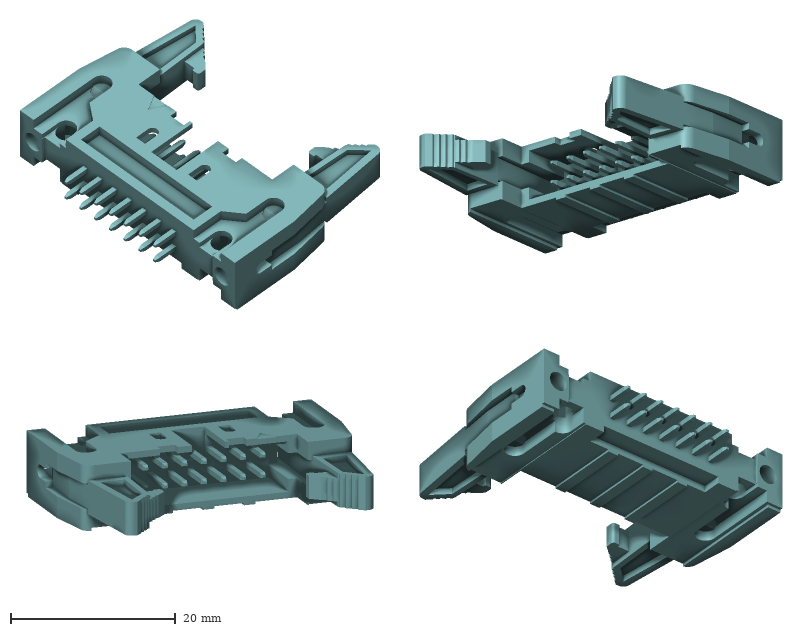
import cadquery as cq
import math


half_length = 18.5
top_z = 8.3
base_z = 0.3
ear_base_z = 0.4
mid_z = (ear_base_z + top_z) / 2
tail_face_y = 0.4
mating_face_y = 13.3

ear_top_y = 16.97
ear_inner_x = 11.5
ear_taper_y = 10.15
ear_top_x = 17.45
ear_corner_radius = 1.4
ear_mount_x = 14.65
relief_inner_x = 11.65
pad_inner_x = 16.6

cavity_half_length = 10.35
cavity_floor_y = 6.7
wall = 0.8
key_width = 4.35
key_floor_y = 6.25
window_width = 1.5
window_offset = 4.47
window_top_y = 9.5
notch_width = 2.3
notch_depth = 1.05
notch_centers = (-3.8, 5.15)
mark_x = -7.58
mark_width = 2.5
mark_length = 2.25
mark_depth = 0.1

label_length = 19.38
label_y = (1.7, 4.88)
rear_recess_length = 17.75
rear_recess_top_z = 1.22
rear_recess_depth = 2.6
rib_pitch = 5.35
rib_width = 1.48

pin_columns = 7
pin_row_length = 15.25
pin_pitch = pin_row_length / (pin_columns - 1)
pin_width = 0.65
pin_tip_width = 0.35
pin_tip_length = 0.63
pin_tail_y = -3.0
pin_contact_y = 12.3

pivot_x = 14.8
pivot_y = 10.28
pivot_radius = 1.33
pivot_end_z = 6.95
pivot_bevel = 0.75
top_channel_z = 6.85
bottom_channel_z = 2.0
channel_bend = (6.9, 5.05)
channel_wide_x = 11.0
mount_hole_x = 13.35
mount_hole_y = 2.8
mount_hole_radius = 1.33
mount_slot_z = (2.55, 6.1)

slot_height = 3.25
slot_floor_y = 6.32
side_slot_height = 1.65
side_slot_end_y = 3.62
foot_pocket_x = (11.65, 17.25)
bore_x = 16.27
bore_z = 4.4
bore_radius = 1.3

tongue_height = 2.9
grip_height = 4.25
latch_outer = (17.12, 17.1)
latch_inner = (12.02, 17.2)
latch_hook_root = (12.15, 21.85)
latch_tip_y = 27.7
latch_tip_radius = 1.0
latch_tip_x = 15.15
latch_tip_flat = 0.37
tooth_count = 6
tooth_run = 0.6
tooth_drop = 0.55
tooth_riser = 0.35
tooth_start = (14.13, 27.1)
hook_nose_x = 9.4
hook_top_y = 22.7
hook_bottom_y = 21.45
hook_radius = 0.37
hook_lip_x = 10.45
hook_lip_radius = 0.2
tongue_end_y = 6.35
tongue_bend_y = 12.1
tongue_bevel = 0.25
foot_x = (15.0, 16.05, 16.85)
foot_end_y = 4.1
foot_bevel = 0.3
foot_root_x = 17.15
arm_end_x = 12.2
arm_y = (5.1, 7.4)
grip_recess_depth = 0.85
grip_recess = [(15.12, 26.63), (13.0, 24.65), (12.85, 18.3), (16.0, 18.15)]


def block(x, y, z):
    """Box from (min, max) pairs along X, Y and Z."""
    size = (x[1] - x[0], y[1] - y[0], z[1] - z[0])
    return cq.Workplane("XY").box(*size, centered=False).translate((x[0], y[0], z[0]))


def centered_block(x_center, width, y, z):
    return block((x_center - width / 2, x_center + width / 2), y, z)


def prism(points, z):
    """Closed polygon in XY extruded between two heights."""
    return cq.Workplane("XY").workplane(offset=z[0]).polyline(points).close().extrude(z[1] - z[0])


def cylinder(x, y, radius, z):
    return cq.Workplane("XY").workplane(offset=z[0]).center(x, y).circle(radius).extrude(z[1] - z[0])


def about_mid(height):
    """Z range of a feature centred on the mid-plane."""
    return (mid_z - height / 2, mid_z + height / 2)


def both_sides(shape):
    return shape.union(shape.mirror("YZ"))


def make_ear():
    outline = [
        (0, tail_face_y),
        (ear_mount_x, tail_face_y),
        (ear_mount_x, 0),
        (half_length, 0),
        (half_length, ear_taper_y),
        (ear_top_x, ear_top_y),
        (ear_inner_x, ear_top_y),
        (ear_inner_x, mating_face_y),
        (0, mating_face_y),
    ]
    ear = prism(outline, (0, top_z))
    corner = cq.selectors.NearestToPointSelector((ear_top_x, ear_top_y, top_z / 2))
    ear = ear.edges(corner).fillet(ear_corner_radius)
    ear = ear.cut(block((0, relief_inner_x), (0, ear_top_y), (0, base_z)))
    ear = ear.cut(block((relief_inner_x, pad_inner_x), (0, ear_top_y), (0, ear_base_z)))
    return ear.cut(block((pad_inner_x, half_length), (0, tail_face_y), (0, ear_base_z)))


def pivot_channels():
    inner_x = pivot_x - pivot_radius
    outer_x = pivot_x + pivot_radius
    wide_outline = [
        (outer_x, 0),
        (outer_x, pivot_y),
        (inner_x, pivot_y),
        (inner_x, channel_bend[0]),
        (channel_wide_x, channel_bend[1]),
        (channel_wide_x, 0),
    ]
    top = prism(wide_outline, (top_channel_z, top_z))
    bottom = block((inner_x, outer_x), (0, pivot_y), (0, bottom_channel_z))
    bore = cylinder(pivot_x, pivot_y, pivot_radius, (0, top_z))
    return top.union(bottom).union(bore)


def mounting_cuts():
    cuts = cylinder(mount_hole_x, mount_hole_y, mount_hole_radius, (0, top_z))
    for z in ((0, mount_slot_z[0]), (mount_slot_z[1], top_z)):
        cuts = cuts.union(centered_block(mount_hole_x, 2 * mount_hole_radius, (0, mount_hole_y), z))
    return cuts


def latch_cuts():
    slot = block((cavity_half_length, half_length), (slot_floor_y, ear_top_y), about_mid(slot_height))
    bore = cq.Workplane("XZ").center(bore_x, bore_z).circle(bore_radius).extrude(-slot_floor_y)
    end_radius = side_slot_height / 2
    end_center_y = side_slot_end_y + end_radius
    side_slot = block((bore_x, half_length), (end_center_y, slot_floor_y), about_mid(side_slot_height))
    rounded_end = (
        cq.Workplane("YZ").workplane(offset=bore_x).center(end_center_y, mid_z)
        .circle(end_radius).extrude(half_length - bore_x)
    )
    foot_pocket = block(foot_pocket_x, (side_slot_end_y, slot_floor_y), about_mid(slot_height))
    return slot.union(foot_pocket).union(bore).union(side_slot).union(rounded_end)


def wall_openings():
    through_wall = (top_z - wall, top_z)
    cuts = centered_block(0, key_width, (key_floor_y, mating_face_y), (mid_z, top_z))
    for x in notch_centers:
        cuts = cuts.union(
            centered_block(x, notch_width, (mating_face_y - notch_depth, mating_face_y), through_wall)
        )
    arch_y = window_top_y - window_width / 2
    for x in (-window_offset, window_offset):
        cuts = cuts.union(centered_block(x, window_width, (cavity_floor_y, arch_y), through_wall))
        cuts = cuts.union(cylinder(x, arch_y, window_width / 2, through_wall))
    pin_one_mark = [
        (mark_x - mark_width / 2, mating_face_y),
        (mark_x + mark_width / 2, mating_face_y),
        (mark_x, mating_face_y - mark_length),
    ]
    return cuts.union(prism(pin_one_mark, (top_z - mark_depth, top_z)))


def make_pin(x, z):
    """Square pin along Y with both ends tapered."""
    shaft_y = (pin_tail_y + pin_tip_length, pin_contact_y - pin_tip_length)
    pin = centered_block(x, pin_width, shaft_y, (z - pin_width / 2, z + pin_width / 2))
    for y, direction in ((shaft_y[0], 1), (shaft_y[1], -1)):
        tip = (
            cq.Workplane("XZ", origin=(x, y, z)).rect(pin_width, pin_width)
            .workplane(offset=direction * pin_tip_length).rect(pin_tip_width, pin_tip_width)
            .loft()
        )
        pin = pin.union(tip)
    return pin


def make_tongue():
    """Lower part of the latch inside the ear: stem, inward arm and foot."""
    side_slope = (latch_tip_x + latch_tip_radius - latch_outer[0]) / (
        latch_tip_y - latch_tip_radius - latch_outer[1])
    bend_x = latch_outer[0] + side_slope * (tongue_bend_y - latch_outer[1])
    outline = [
        (arm_end_x, arm_y[0]),
        (foot_x[0], arm_y[0]),
        (foot_x[1], foot_end_y),
        (foot_x[2], foot_end_y + foot_bevel),
        (foot_root_x, tongue_end_y),
        (bend_x - tongue_bevel, tongue_end_y),
        (bend_x, tongue_end_y + tongue_bevel),
        (bend_x, tongue_bend_y),
        latch_outer,
        latch_inner,
        (arm_end_x, arm_y[1]),
    ]
    return prism(outline, about_mid(tongue_height))


def make_head(height):
    """Upper part of the latch: rounded tip, toothed back and hook, centred on the mid-plane."""
    teeth = []
    x, y = tooth_start
    for _ in range(tooth_count):
        teeth.append((x, y - tooth_riser))
        x -= tooth_run
        y -= tooth_drop
        teeth.append((x, y))
    diagonal = math.sqrt(0.5)
    tip_center_y = latch_tip_y - latch_tip_radius
    return (
        cq.Workplane("XY")
        .moveTo(*latch_outer)
        .lineTo(latch_tip_x + latch_tip_radius, tip_center_y)
        .threePointArc(
            (latch_tip_x + latch_tip_radius * diagonal, tip_center_y + latch_tip_radius * diagonal),
            (latch_tip_x, latch_tip_y),
        )
        .lineTo(latch_tip_x - latch_tip_flat, latch_tip_y)
        .lineTo(*tooth_start)
        .polyline(teeth, includeCurrent=True)
        .lineTo(hook_nose_x, hook_top_y)
        .lineTo(hook_nose_x, hook_bottom_y + hook_radius)
        .radiusArc((hook_nose_x + hook_radius, hook_bottom_y), -hook_radius)
        .lineTo(hook_lip_x - hook_lip_radius, hook_bottom_y)
        .radiusArc((hook_lip_x, hook_bottom_y + hook_lip_radius), -hook_lip_radius)
        .lineTo(hook_lip_x, latch_hook_root[1])
        .lineTo(*latch_hook_root)
        .lineTo(*latch_inner)
        .close().extrude(height)
        .translate((0, 0, mid_z - height / 2))
    )


def make_latch():
    grip = make_head(grip_height)
    inner_slope = (latch_hook_root[0] - latch_inner[0]) / (latch_hook_root[1] - latch_inner[1])
    grip_top_x = latch_inner[0] + inner_slope * (latch_tip_y - latch_inner[1])
    hook_side = [(0, latch_inner[1]), latch_inner, (grip_top_x, latch_tip_y), (0, latch_tip_y)]
    grip = grip.cut(prism(hook_side, (0, top_z)))
    grip_bottom, grip_top = about_mid(grip_height)
    grip = grip.cut(prism(grip_recess, (grip_top - grip_recess_depth, grip_top)))
    grip = grip.cut(prism(grip_recess, (grip_bottom, grip_bottom + grip_recess_depth)))
    hook = make_head(tongue_height).intersect(prism(hook_side, (0, top_z)))
    return make_tongue().union(hook).union(grip).union(make_pivot())


def make_pivot():
    """Pivot through both ear walls, each end bevelled on its -Y half."""
    half_height = pivot_end_z - mid_z
    bevelled_y = pivot_y - pivot_radius
    profile = [
        (bevelled_y, pivot_bevel - half_height),
        (pivot_y, -half_height),
        (pivot_y + pivot_radius, -half_height),
        (pivot_y + pivot_radius, half_height),
        (pivot_y, half_height),
        (bevelled_y, half_height - pivot_bevel),
    ]
    side = (
        cq.Workplane("YZ", origin=(pivot_x - pivot_radius, 0, mid_z))
        .polyline(profile).close().extrude(2 * pivot_radius)
    )
    return cylinder(pivot_x, pivot_y, pivot_radius, (0, top_z)).intersect(side)


def make_housing():
    housing = both_sides(make_ear())
    for x in (-rib_pitch, 0, rib_pitch):
        housing = housing.union(centered_block(x, rib_width, (tail_face_y, mating_face_y), (0, base_z)))
    cavity = centered_block(
        0, 2 * cavity_half_length, (cavity_floor_y, mating_face_y), (base_z + wall, top_z - wall))
    label_recess = centered_block(0, label_length, label_y, (top_channel_z, top_z))
    rear_recess = centered_block(
        0, rear_recess_length, (0, tail_face_y + rear_recess_depth), (0, rear_recess_top_z))
    housing = housing.cut(cavity).cut(wall_openings()).cut(label_recess).cut(rear_recess)
    for cuts in (pivot_channels(), mounting_cuts(), latch_cuts()):
        housing = housing.cut(both_sides(cuts))
    return housing


result = make_housing().union(both_sides(make_latch()))
for column in range(pin_columns):
    pin_x = column * pin_pitch - pin_row_length / 2
    for pin_z in about_mid(pin_pitch):
        result = result.union(make_pin(pin_x, pin_z))